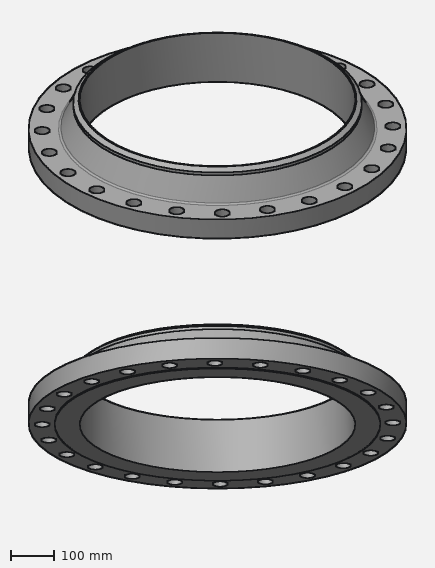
import cadquery as cq

flange_diameter = 870.0
total_height = 129.0
bore_diameter = 634.0

raised_face_diameter = 750.0
raised_face_height = 3.0
flange_top = 53.0

hub_base_diameter = 725.0
neck_diameter = 664.5
neck_length = 8.0
weld_land_diameter = 640.0
weld_bevel_height = 9.0
hub_fillet_radius = 6.0

bolt_count = 24
bolt_circle_diameter = 807.0
bolt_hole_diameter = 35.0

neck_top = total_height - weld_bevel_height
neck_bottom = neck_top - neck_length


def flange_body():
    """Ring revolved from the half section, profile points as (radius, height)."""
    bore_radius = bore_diameter / 2
    raised_face_radius = raised_face_diameter / 2
    flange_radius = flange_diameter / 2
    neck_radius = neck_diameter / 2
    section = [
        (bore_radius, 0),
        (raised_face_radius, 0),
        (raised_face_radius, raised_face_height),
        (flange_radius, raised_face_height),
        (flange_radius, flange_top),
        (hub_base_diameter / 2, flange_top),
        (neck_radius, neck_bottom),
        (neck_radius, neck_top),
        (weld_land_diameter / 2, total_height),
        (bore_radius, total_height),
    ]
    return cq.Workplane("XZ").polyline(section).close().revolve(360, (0, 0), (0, 1))


def fillet_hub_base(body):
    """Round the inside corner where the hub meets the flange plate."""
    innermost = cq.selectors.RadiusNthSelector(0)
    plate_top = body.faces("+Z").faces("<Z")
    return plate_top.edges(innermost).fillet(hub_fillet_radius)


def bolt_holes():
    """Cylinders for the bolt holes, the first one on the +X axis."""
    return (
        cq.Workplane("XY")
        .polarArray(bolt_circle_diameter / 2, 0, 360, bolt_count)
        .circle(bolt_hole_diameter / 2)
        .extrude(flange_top)
    )


result = fillet_hub_base(flange_body()).cut(bolt_holes())